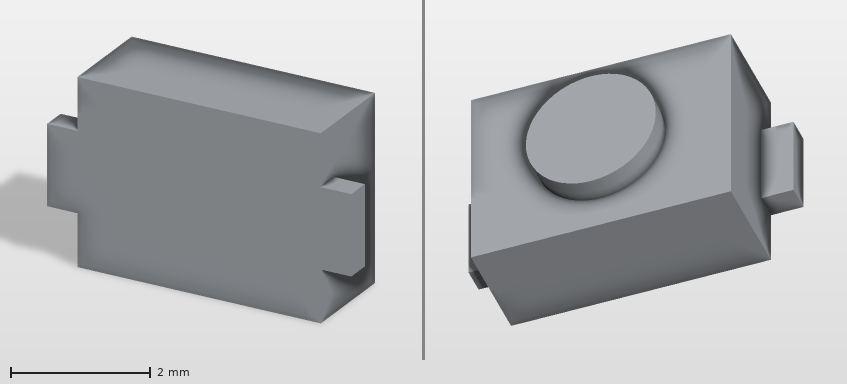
import cadquery as cq

total_length = 5.0
total_depth = 2.0
body_height = 3.0

button_diameter = 2.0
button_travel = 0.4

tab_length = 0.5
tab_depth = 0.4
tab_height = 1.3

body_length = total_length - 2 * tab_length
body_depth = total_depth - button_travel


def block_from_mounting_face(length, depth, height):
    """Block centred in X and Z that starts at the -Y mounting face (Y = 0)."""
    return cq.Workplane("XY").box(length, depth, height, centered=(True, False, True))


body = block_from_mounting_face(body_length, body_depth, body_height)

tabs = block_from_mounting_face(total_length, tab_depth, tab_height)

button = cq.Workplane("XZ").circle(button_diameter / 2).extrude(-total_depth)

result = body.union(tabs).union(button)